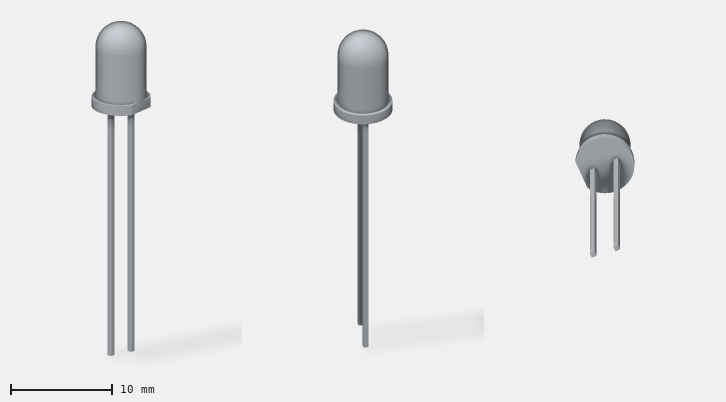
import cadquery as cq

total_height = 35.08
lens_diameter = 5.0
lens_radius = lens_diameter / 2
flange_diameter = 5.8
flange_radius = flange_diameter / 2
flange_height = 1.0
lens_straight_height = 5.2

lead_width = 0.5
lead_pitch = 2.53
lead_length_difference = 1.0

dome_base = flange_height + lens_straight_height
dome_top = dome_base + lens_radius
long_lead_length = total_height - dome_top
short_lead_length = long_lead_length - lead_length_difference


def make_lens():
    """Cylinder capped by a hemisphere, revolved about Z."""
    return (
        cq.Workplane("XZ")
        .lineTo(lens_radius, 0)
        .lineTo(lens_radius, dome_base)
        .radiusArc((0, dome_top), -lens_radius)
        .close()
        .revolve(360, (0, 0), (0, 1))
    )


def make_flange():
    """Round base with a flat on +X that touches the lens wall."""
    disc = cq.Workplane("XY").circle(flange_radius).extrude(flange_height)
    flat_limit = cq.Workplane("XY").box(
        flange_radius + lens_radius, flange_diameter, flange_height, centered=(False, True, False)
    ).translate((-flange_radius, 0, 0))
    return disc.intersect(flat_limit)


def make_lead(x, length):
    """Square lead that hangs from the underside of the flange."""
    return cq.Workplane("XY").center(x, 0).rect(lead_width, lead_width).extrude(-length)


result = make_flange().union(make_lens())
result = result.union(make_lead(-lead_pitch / 2, long_lead_length))
result = result.union(make_lead(lead_pitch / 2, short_lead_length))